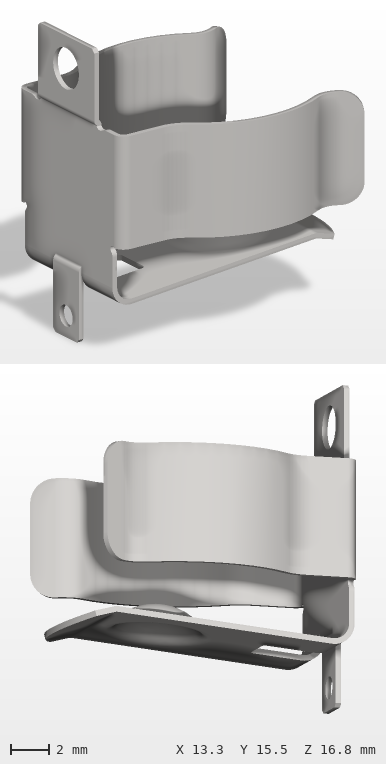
import cadquery as cq
import math

THICKNESS = 0.3
HALF_THICKNESS = THICKNESS / 2
TOTAL_WIDTH = 13.31
TOTAL_HEIGHT = 16.83

WALL_TOP = 12.52
WALL_BEND_Z = 3.92
ARM_BOTTOM = 6.21
WALL_HALF_WIDTH = 4.05
SPRING_WIDTH = 7.88
TOP_NOTCH_X = 2.819
TOP_NOTCH_RADIUS = 0.42
TOP_NOTCH_DEPTH = 0.15
TOP_NOTCH_LEAD_IN = 0.64
SIDE_NOTCH_X = 3.95
SIDE_NOTCH_Z = 6.1
SIDE_NOTCH_RADIUS = 0.2
SIDE_NOTCH_LEAD_IN = 0.44

ARM_CORNER_RADIUS = 0.47
ARM_STRAIGHT_END_Y = 2.8
ARM_FLARE_RADIUS = 2.25
ARM_GRIP_RADIUS = 6.85
ARM_LEAN_IN = 29.3
ARM_THROAT_RADIUS = 1.45
ARM_LEAN_OUT = 30.0
ARM_TIP_LENGTH = 1.36
ARM_TIP_ROUNDING = 1.3

SPRING_BEND_RADIUS = 1.0
SPRING_RISE_ANGLE = 5.0
SPRING_KINK_Y = 12.98
SPRING_KINK_RADIUS = 0.4
SPRING_TIP_DROP_ANGLE = 15.0
SPRING_END_Y = 15.37
SPRING_TIP_SAGITTA = 1.2
SLOT_END_Y = 4.09
SLOT_CORNER_RADIUS = 0.25

DOME_Y = 9.53
DOME_RADIUS = 2.88
DOME_RISE = 1.25
DOME_FOOT_RADIUS = 0.91

LUG_OFFSET = 0.17
LUG_FIRST_RADIUS = 0.25
LUG_SECOND_RADIUS = 0.17
LUG_CHAMFER = 0.2
UPPER_LUG_WIDTH = 5.08
UPPER_LUG_HOLE_DIAMETER = 2.3
UPPER_LUG_HOLE_Z = 15.0
LOWER_LUG_TOP = 4.31
LOWER_LUG_WIDTH = 2.3
LOWER_LUG_HOLE_DIAMETER = 1.2
LOWER_LUG_HOLE_Z = 1.2


def bent_strip(plane, start, heading, steps):
    """Trace the edge of a bent sheet along its middle line.

    A step is ("line", length) or ("bend", radius, angle), positive angles turning left.
    Returns the closed outline and the end point of the middle line.
    """
    x, y = start
    direction = math.radians(heading)

    def beside(px, py, angle, shift):
        return (px - shift * math.sin(angle), py + shift * math.cos(angle))

    stations = [(x, y, direction)]
    midways = []
    for step in steps:
        if step[0] == "line":
            x += step[1] * math.cos(direction)
            y += step[1] * math.sin(direction)
            midways.append(None)
        else:
            turn = math.radians(step[2])
            signed_radius = math.copysign(step[1], turn)
            center = beside(x, y, direction, signed_radius)
            midways.append((*beside(*center, direction + turn / 2, -signed_radius), direction + turn / 2))
            direction += turn
            x, y = beside(*center, direction, -signed_radius)
        stations.append((x, y, direction))

    outline = cq.Workplane(plane).moveTo(*beside(*stations[0], HALF_THICKNESS))

    def follow(outline, midway, target, shift):
        if midway is None:
            return outline.lineTo(*beside(*target, shift))
        return outline.threePointArc(beside(*midway, shift), beside(*target, shift))

    for midway, target in zip(midways, stations[1:]):
        outline = follow(outline, midway, target, HALF_THICKNESS)
    outline = outline.lineTo(*beside(*stations[-1], -HALF_THICKNESS))
    for midway, target in zip(reversed(midways), reversed(stations[:-1])):
        outline = follow(outline, midway, target, -HALF_THICKNESS)
    return outline.close(), (x, y)


def block(x_range, y_range, z_range):
    """Box between the given limits."""
    limits = (x_range, y_range, z_range)
    sizes = [high - low for low, high in limits]
    return cq.Workplane("XY").box(*sizes, centered=False).translate(tuple(low for low, _ in limits))


def cylinder_along_y(x, z, radius):
    """Cutter reaching through the wall and the lugs."""
    return cq.Workplane("XZ").center(x, z).circle(radius).extrude(2 * THICKNESS, both=True)


def make_wall():
    through = (0, THICKNESS)
    half_spring = SPRING_WIDTH / 2
    wall = block((-half_spring, half_spring), through, (WALL_BEND_Z, WALL_TOP))
    wall = wall.union(block((-WALL_HALF_WIDTH, WALL_HALF_WIDTH), through, (ARM_BOTTOM, WALL_TOP)))

    top_notch_z = WALL_TOP - TOP_NOTCH_DEPTH + TOP_NOTCH_RADIUS
    top_reach = math.sqrt(TOP_NOTCH_RADIUS**2 - (top_notch_z - WALL_TOP) ** 2)
    side_reach = math.sqrt(SIDE_NOTCH_RADIUS**2 - (SIDE_NOTCH_X - half_spring) ** 2)
    for side in (-1, 1):
        wall = wall.cut(cylinder_along_y(side * TOP_NOTCH_X, top_notch_z, TOP_NOTCH_RADIUS))
        wall = wall.cut(cylinder_along_y(side * SIDE_NOTCH_X, SIDE_NOTCH_Z, SIDE_NOTCH_RADIUS))
        side_gap = sorted((side * SIDE_NOTCH_X, side * WALL_HALF_WIDTH))
        wall = wall.cut(block(side_gap, through, (SIDE_NOTCH_Z, SIDE_NOTCH_Z + SIDE_NOTCH_RADIUS)))

        top_corner = (side * (TOP_NOTCH_X + top_reach), HALF_THICKNESS, WALL_TOP)
        wall = wall.edges(cq.NearestToPointSelector(top_corner)).fillet(TOP_NOTCH_LEAD_IN)
        side_corner = (side * half_spring, HALF_THICKNESS, SIDE_NOTCH_Z - side_reach)
        wall = wall.edges(cq.NearestToPointSelector(side_corner)).fillet(SIDE_NOTCH_LEAD_IN)
    return wall


def make_arm():
    """Arm on the +X side: corner, straight, flare, round grip, throat and lead-in tip."""
    straight_x = WALL_HALF_WIDTH + ARM_CORNER_RADIUS
    bulge = TOTAL_WIDTH / 2 - HALF_THICKNESS - straight_x
    flare_angle = math.degrees(math.acos(1 - bulge / (ARM_FLARE_RADIUS + ARM_GRIP_RADIUS)))
    straight_length = ARM_STRAIGHT_END_Y - HALF_THICKNESS - ARM_CORNER_RADIUS
    outline, tip = bent_strip(
        "XY",
        (WALL_HALF_WIDTH, HALF_THICKNESS),
        0,
        [
            ("bend", ARM_CORNER_RADIUS, 90),
            ("line", straight_length),
            ("bend", ARM_FLARE_RADIUS, -flare_angle),
            ("bend", ARM_GRIP_RADIUS, flare_angle + ARM_LEAN_IN),
            ("bend", ARM_THROAT_RADIUS, -ARM_LEAN_IN - ARM_LEAN_OUT),
            ("line", ARM_TIP_LENGTH),
        ],
    )
    arm = outline.extrude(WALL_TOP - ARM_BOTTOM).translate((0, 0, ARM_BOTTOM))
    for z in (ARM_BOTTOM, WALL_TOP):
        arm = arm.edges(cq.NearestToPointSelector((*tip, z))).fillet(ARM_TIP_ROUNDING)
    return arm


def make_spring():
    """Blade folded from the wall's lower edge, with a drooping round tip, a slot and a dome."""
    rise = math.radians(SPRING_RISE_ANGLE)
    drop = math.radians(SPRING_TIP_DROP_ANGLE)
    half_width = SPRING_WIDTH / 2
    blade_y = HALF_THICKNESS + SPRING_BEND_RADIUS * (1 + math.sin(rise))
    blade_z = WALL_BEND_Z - SPRING_BEND_RADIUS * math.cos(rise)
    outline, kink_end = bent_strip(
        "YZ",
        (HALF_THICKNESS, WALL_BEND_Z),
        -90,
        [
            ("bend", SPRING_BEND_RADIUS, 90 + SPRING_RISE_ANGLE),
            ("line", (SPRING_KINK_Y - blade_y) / math.cos(rise)),
            ("bend", SPRING_KINK_RADIUS, -SPRING_RISE_ANGLE - SPRING_TIP_DROP_ANGLE),
        ],
    )
    spring = outline.extrude(half_width, both=True)

    tip_length = (SPRING_END_Y - HALF_THICKNESS * math.sin(drop) - kink_end[0]) / math.cos(drop)
    shoulder = tip_length - SPRING_TIP_SAGITTA
    tip_plane = cq.Plane(origin=(0, *kink_end), xDir=(1, 0, 0), normal=(0, math.sin(drop), math.cos(drop)))
    tip = (
        cq.Workplane(tip_plane)
        .moveTo(-half_width, 0)
        .lineTo(half_width, 0)
        .lineTo(half_width, shoulder)
        .threePointArc((0, tip_length), (-half_width, shoulder))
        .close()
        .extrude(HALF_THICKNESS, both=True)
    )
    spring = spring.union(tip)

    dome_y = DOME_Y + HALF_THICKNESS * math.sin(rise)
    dome_center = (0, dome_y, blade_z + (dome_y - blade_y) * math.tan(rise))
    sheet_normal = (0, -math.sin(rise), math.cos(rise))
    sheet_plane = cq.Plane(origin=dome_center, xDir=(1, 0, 0), normal=sheet_normal)
    spring = spring.cut(cq.Workplane(sheet_plane).circle(DOME_RADIUS).extrude(THICKNESS, both=True))
    section_plane = cq.Plane(
        origin=dome_center, xDir=(1, 0, 0), normal=(0, -math.cos(rise), -math.sin(rise))
    )
    dome_turn = 2 * math.atan(DOME_RISE / DOME_RADIUS)
    cap_radius = DOME_RADIUS / math.sin(dome_turn) - DOME_FOOT_RADIUS
    dome_angle = math.degrees(dome_turn)
    dome, _ = bent_strip(
        section_plane,
        (DOME_RADIUS, 0),
        180,
        [("bend", DOME_FOOT_RADIUS, -dome_angle), ("bend", cap_radius, dome_angle)],
    )
    return spring.union(dome.revolve(360, (0, 0), (0, 1)))


def make_lug_slot():
    """Opening left in the wall and the spring where the lower lug is folded out."""
    half_width = LOWER_LUG_WIDTH / 2
    slot = block((-half_width, half_width), (0, SLOT_END_Y), (0, LOWER_LUG_TOP))
    return slot.edges("|Z and >Y").fillet(SLOT_CORNER_RADIUS)


def make_lug(root_z, end_z, width, hole_z, hole_diameter):
    """Lug set off from the wall's outer face by a pair of opposite bends."""
    radii = LUG_FIRST_RADIUS + LUG_SECOND_RADIUS
    angle = math.acos(1 - LUG_OFFSET / radii)
    direction = math.copysign(1, end_z - root_z)
    flat_length = abs(end_z - root_z) - radii * math.sin(angle)
    turn = direction * math.degrees(angle)
    outline, _ = bent_strip(
        "YZ",
        (HALF_THICKNESS, root_z),
        direction * 90,
        [
            ("bend", LUG_FIRST_RADIUS, turn),
            ("bend", LUG_SECOND_RADIUS, -turn),
            ("line", flat_length),
        ],
    )
    lug = outline.extrude(width / 2, both=True)
    end_face = ">Z" if direction > 0 else "<Z"
    lug = lug.faces(end_face).edges("|Y").chamfer(LUG_CHAMFER)
    return lug.cut(cylinder_along_y(0, hole_z, hole_diameter / 2))


arm = make_arm()
upper_lug = make_lug(WALL_TOP, TOTAL_HEIGHT, UPPER_LUG_WIDTH, UPPER_LUG_HOLE_Z, UPPER_LUG_HOLE_DIAMETER)
lower_lug = make_lug(LOWER_LUG_TOP, 0, LOWER_LUG_WIDTH, LOWER_LUG_HOLE_Z, LOWER_LUG_HOLE_DIAMETER)

result = make_wall().union(make_spring()).cut(make_lug_slot())
for piece in (arm, arm.mirror("YZ"), upper_lug, lower_lug):
    result = result.union(piece)